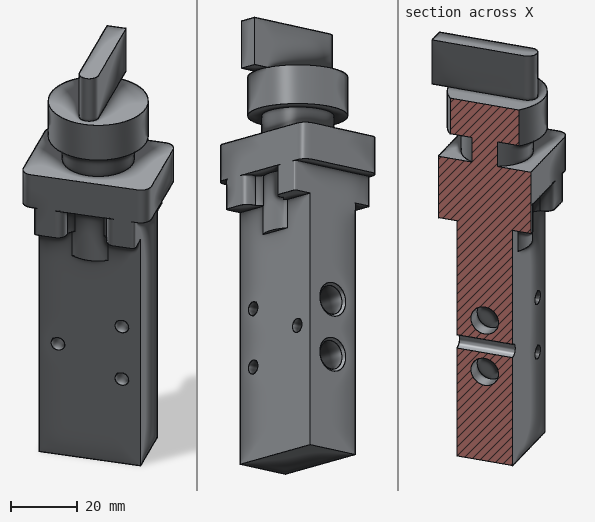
import cadquery as cq
import math

NECK_BOTTOM = 69.2
BLOCK_BOTTOM = 77.9
FLANGE_BOTTOM = 87.1
FLANGE_TOP = 98.4
HEAD_BOTTOM = 106.4
HEAD_TOP = 118.4
HANDLE_TOP = 133.0

BODY_WIDTH = 31.7
BODY_DEPTH = 18.1
NECK_RADIUS = 10.6

FLANGE_WIDTH = 40.0
FLANGE_DEPTH = 30.0
FLANGE_CORNER_RADIUS = 3.3
BLOCK_CORNER_RADIUS = 1.0
COLLAR_DIAMETER = 21.7
HEAD_DIAMETER = 30.0

RECESS_HALF_WIDTH = 6.3
RECESS_MOUTH_RADIUS = 2.8
RECESS_INNER_HALF_WIDTH = 4.5

HANDLE_WIDTH = 6.0
HANDLE_BACK = 20.0
HANDLE_FRONT = 12.9

MOUNT_HOLE_DIAMETER = 4.3
MOUNT_HOLE_X = 10.0
MOUNT_HOLE_CENTER_Z = 38.0
MOUNT_HOLE_RISE = 9.0

PORT_DIAMETER = 8.8
PORT_MOUTH_DIAMETER = 10.4
PORT_SPACING = 17.0
PORT_DEPTH = 10.6


def block_between(width, depth, bottom, top):
    """Rectangular block centred on the Z axis."""
    return cq.Workplane("XY").workplane(offset=bottom).rect(width, depth).extrude(top - bottom)


def cylinder_between(radius, bottom, top):
    """Cylinder on the Z axis."""
    return cq.Workplane("XY").workplane(offset=bottom).circle(radius).extrude(top - bottom)


def make_recess():
    """Front recess: rounded mouth, straight sides and 45-degree walls running to the neck."""
    face_y = -FLANGE_DEPTH / 2
    mouth_half = RECESS_HALF_WIDTH + RECESS_MOUTH_RADIUS
    side_y = face_y + RECESS_MOUTH_RADIUS
    neck_y = -math.sqrt(NECK_RADIUS**2 - RECESS_INNER_HALF_WIDTH**2)
    shoulder_y = neck_y - (RECESS_HALF_WIDTH - RECESS_INNER_HALF_WIDTH)
    arc_offset = RECESS_MOUTH_RADIUS * (1 - math.sqrt(0.5))
    arc_x = RECESS_HALF_WIDTH + arc_offset
    arc_y = face_y + arc_offset
    return (
        cq.Workplane("XY")
        .workplane(offset=BLOCK_BOTTOM)
        .moveTo(-mouth_half, face_y)
        .threePointArc((-arc_x, arc_y), (-RECESS_HALF_WIDTH, side_y))
        .lineTo(-RECESS_HALF_WIDTH, shoulder_y)
        .lineTo(-RECESS_INNER_HALF_WIDTH, neck_y)
        .lineTo(RECESS_INNER_HALF_WIDTH, neck_y)
        .lineTo(RECESS_HALF_WIDTH, shoulder_y)
        .lineTo(RECESS_HALF_WIDTH, side_y)
        .threePointArc((arc_x, arc_y), (mouth_half, face_y))
        .close()
        .extrude(FLANGE_BOTTOM - BLOCK_BOTTOM)
    )


def make_clamp_block():
    block = block_between(BODY_WIDTH, FLANGE_DEPTH, BLOCK_BOTTOM, FLANGE_BOTTOM)
    block = block.edges("|Z").fillet(BLOCK_CORNER_RADIUS)
    recess = make_recess()
    return block.cut(recess).cut(recess.mirror("XZ"))


def make_handle():
    half = HANDLE_WIDTH / 2
    tip_start = -HANDLE_FRONT + half
    return (
        cq.Workplane("XY")
        .workplane(offset=HEAD_TOP)
        .moveTo(half, HANDLE_BACK)
        .lineTo(half, tip_start)
        .threePointArc((0, -HANDLE_FRONT), (-half, tip_start))
        .lineTo(-half, HANDLE_BACK)
        .close()
        .extrude(HANDLE_TOP - HEAD_TOP)
    )


def make_mount_holes():
    """Two holes on the +X side and one midway between them on the -X side."""
    centers = [
        (MOUNT_HOLE_X, MOUNT_HOLE_CENTER_Z + MOUNT_HOLE_RISE),
        (-MOUNT_HOLE_X, MOUNT_HOLE_CENTER_Z),
        (MOUNT_HOLE_X, MOUNT_HOLE_CENTER_Z - MOUNT_HOLE_RISE),
    ]
    return (
        cq.Workplane("XZ")
        .pushPoints(centers)
        .circle(MOUNT_HOLE_DIAMETER / 2)
        .extrude(BODY_DEPTH, both=True)
    )


def make_port(height):
    """Port cutter entering the -X face, with a 45-degree chamfer at its mouth."""
    radius = PORT_DIAMETER / 2
    mouth_radius = PORT_MOUTH_DIAMETER / 2
    chamfer = mouth_radius - radius
    profile = [(0, 0), (0, mouth_radius), (chamfer, radius), (PORT_DEPTH, radius), (PORT_DEPTH, 0)]
    cutter = cq.Workplane("XY").polyline(profile).close().revolve(360, (0, 0), (1, 0))
    return cutter.translate((-BODY_WIDTH / 2, 0, height))


body = block_between(BODY_WIDTH, BODY_DEPTH, 0, FLANGE_BOTTOM)
neck = cylinder_between(NECK_RADIUS, NECK_BOTTOM, FLANGE_BOTTOM)
flange = block_between(FLANGE_WIDTH, FLANGE_DEPTH, FLANGE_BOTTOM, FLANGE_TOP)
flange = flange.edges("|Z").fillet(FLANGE_CORNER_RADIUS)
collar = cylinder_between(COLLAR_DIAMETER / 2, FLANGE_TOP, HEAD_BOTTOM)
head = cylinder_between(HEAD_DIAMETER / 2, HEAD_BOTTOM, HEAD_TOP)

result = body
for section in (neck, make_clamp_block(), flange, collar, head, make_handle()):
    result = result.union(section)

result = result.cut(make_mount_holes())
for side in (-1, 1):
    result = result.cut(make_port(MOUNT_HOLE_CENTER_Z + side * PORT_SPACING / 2))